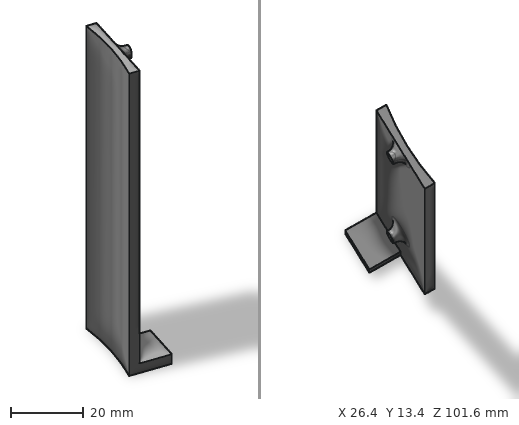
import cadquery as cq

width = 26.4
height = 101.6
thickness = 3.3
hollow_depth = 1.1

tab_width = width / 2
tab_length = 10.1
tab_height = thickness

pin_diameter = 3.9
pin_length = 3.4
pin_root_radius = 2.9
top_pin_inset = 2.6
pin_spacing = 76.2
top_pin_z = height - top_pin_inset
pin_heights = (top_pin_z - pin_spacing, top_pin_z)

root_margin = 0.1


def make_plate():
    """Upright plate with a shallow arc along its whole front face."""
    return (
        cq.Workplane("XY")
        .moveTo(-width / 2, 0)
        .threePointArc((0, hollow_depth), (width / 2, 0))
        .lineTo(width / 2, thickness)
        .lineTo(-width / 2, thickness)
        .close()
        .extrude(height)
    )


def make_tab():
    """Block reaching back from the bottom of the plate."""
    return cq.Workplane("XY").box(tab_width, tab_length, tab_height, centered=False).translate((0, thickness, 0))


def add_pin(body, z):
    """Round pin with a filleted root; near the plate's top the fillet ends on the plate edge."""
    pin = cq.Workplane("XZ", origin=(0, thickness, z)).circle(pin_diameter / 2).extrude(-pin_length)
    root = cq.selectors.BoxSelector(
        (-pin_diameter, thickness - root_margin, z - pin_diameter),
        (pin_diameter, thickness + root_margin, z + pin_diameter),
    )
    return body.union(pin).edges("%CIRCLE").edges(root).fillet(pin_root_radius)


result = make_plate().union(make_tab())
for pin_z in pin_heights:
    result = add_pin(result, pin_z)